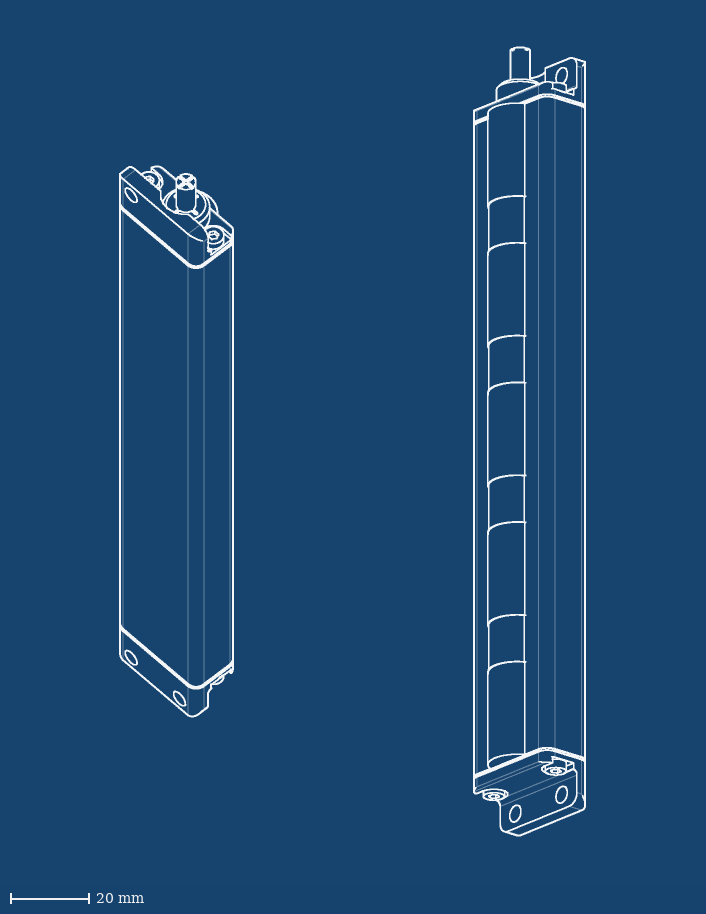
import cadquery as cq
import math

WIDTH = 30.0
DEPTH = 14.9
TOTAL_DEPTH = 19.0
TOTAL_HEIGHT = 209.5
EDGE_RADIUS = 3.0

FLANGE_TOP = 204.3
PROFILE_BOTTOM = 13.0
PROFILE_TOP = 191.0
SEAM_HEIGHT = 0.6
SEAM_DEPTH = 0.2
CAP_BLOCK_HEIGHT = 3.4
BLOCK_BOTTOM = PROFILE_BOTTOM - SEAM_HEIGHT - CAP_BLOCK_HEIGHT
BLOCK_TOP = PROFILE_TOP + SEAM_HEIGHT + CAP_BLOCK_HEIGHT

FLANGE_THICKNESS = 4.5
FLANGE_ROOT_RADIUS = 1.3
BLOCK_EDGE_RADIUS = 0.6
MOUNT_HOLE_X = 9.0
MOUNT_HOLE_INSET = 4.0
MOUNT_HOLE_DIAMETER = 4.5

SCREW_X = WIDTH / 2 - 3.0
SCREW_Y = 9.0
POCKET_WIDTH = 7.1
POCKET_DEPTH = 1.7
HEAD_DIAMETER = 5.5
HEAD_HEIGHT = 2.3
HEX_SIZE = 2.7
HEX_DEPTH = 1.3

GLAND_X = 2.5
GLAND_Y = 8.4
GLAND_DIAMETER = 12.2
GLAND_TOP = 200.0
GLAND_CLEARANCE = 0.5
GLAND_CHAMFER = 1.0
CABLE_DIAMETER = 5.0
CROSS_LENGTH = 8.2
CROSS_WIDTH = 0.6
CROSS_DEPTH = 0.5

LENS_RADIUS = 7.5
LENS_Y = TOTAL_DEPTH - LENS_RADIUS
NECK_RADIUS = 7.3
NECK_LENGTH = 12.8
NECK_COUNT = 4
LENS_LENGTH = PROFILE_TOP - PROFILE_BOTTOM
BAND_LENGTH = (LENS_LENGTH - NECK_COUNT * NECK_LENGTH) / (NECK_COUNT + 1)


def cylinder(x, y, bottom, top, radius):
    """Upright cylinder between two heights."""
    return cq.Workplane("XY", origin=(x, y, bottom)).circle(radius).extrude(top - bottom)


def rounded_bar(bottom, top, inset=0.0):
    """Bar with the housing's rounded rectangular section."""
    return (
        cq.Workplane("XY", origin=(0, DEPTH / 2, bottom))
        .rect(WIDTH - 2 * inset, DEPTH - 2 * inset)
        .extrude(top - bottom)
        .edges("|Z")
        .fillet(EDGE_RADIUS - inset)
    )


def end_cap(seam_z, block_z, flange_z):
    """End cap: a full-depth block that narrows to a flange along the front face."""
    out = math.copysign(1, flange_z - seam_z)
    side_profile = (
        cq.Workplane("YZ")
        .moveTo(0, seam_z)
        .lineTo(0, flange_z)
        .lineTo(FLANGE_THICKNESS, flange_z)
        .lineTo(FLANGE_THICKNESS, block_z + out * FLANGE_ROOT_RADIUS)
        .radiusArc((FLANGE_THICKNESS + FLANGE_ROOT_RADIUS, block_z), -out * FLANGE_ROOT_RADIUS)
        .lineTo(DEPTH - BLOCK_EDGE_RADIUS, block_z)
        .radiusArc((DEPTH, block_z - out * BLOCK_EDGE_RADIUS), out * BLOCK_EDGE_RADIUS)
        .lineTo(DEPTH, seam_z)
        .close()
        .extrude(WIDTH / 2, both=True)
    )
    low = min(seam_z, flange_z)
    high = max(seam_z, flange_z)
    outline = (
        cq.Workplane("XZ", origin=(0, 0, (low + high) / 2))
        .rect(WIDTH, high - low)
        .extrude(-DEPTH)
        .edges("|Y")
        .edges(">Z" if out > 0 else "<Z")
        .fillet(EDGE_RADIUS)
    )
    return side_profile.intersect(outline).intersect(rounded_bar(low, high))


def screw_pocket(side, block_z, out):
    """Round-ended pocket in the end of a cap, open to the side wall."""
    pocket = cq.Workplane("XY", origin=(side * SCREW_X, SCREW_Y, block_z))
    round_end = pocket.circle(POCKET_WIDTH / 2).extrude(-out * POCKET_DEPTH)
    opening = pocket.center(side * POCKET_WIDTH / 2, 0).rect(POCKET_WIDTH, POCKET_WIDTH)
    return round_end.union(opening.extrude(-out * POCKET_DEPTH))


def screw_head(side, block_z, out):
    """Socket screw head standing on the floor of its pocket."""
    floor = block_z - out * POCKET_DEPTH
    head_end = floor + out * HEAD_HEIGHT
    place = (side * SCREW_X, SCREW_Y)
    head = cq.Workplane("XY", origin=(*place, floor)).circle(HEAD_DIAMETER / 2).extrude(out * HEAD_HEIGHT)
    socket = cq.Workplane("XY", origin=(*place, head_end)).polygon(6, HEX_SIZE).extrude(-out * HEX_DEPTH)
    return head.cut(socket)


def mount_hole(x, z):
    """Through hole along Y in a flange."""
    return cq.Workplane("XZ", origin=(x, 0, z)).circle(MOUNT_HOLE_DIAMETER / 2).extrude(-FLANGE_THICKNESS)


def cross_slot(top):
    """Narrow cross-shaped slot centred on the gland axis."""
    start = cq.Workplane("XY", origin=(GLAND_X, GLAND_Y, top))
    along_x = start.rect(CROSS_LENGTH, CROSS_WIDTH).extrude(-CROSS_DEPTH)
    along_y = start.rect(CROSS_WIDTH, CROSS_LENGTH).extrude(-CROSS_DEPTH)
    return along_x.union(along_y)


def cable_gland():
    """Chamfered gland with the cable leaving it."""
    gland = cylinder(GLAND_X, GLAND_Y, PROFILE_TOP, GLAND_TOP, GLAND_DIAMETER / 2)
    gland = gland.faces(">Z").chamfer(GLAND_CHAMFER)
    cable = cylinder(GLAND_X, GLAND_Y, BLOCK_TOP, TOTAL_HEIGHT, CABLE_DIAMETER / 2)
    return gland.cut(cross_slot(GLAND_TOP)).union(cable).cut(cross_slot(TOTAL_HEIGHT))


def make_lens():
    """Round lens with wide bands separated by slightly thinner necks."""
    lens = cylinder(0, LENS_Y, PROFILE_BOTTOM, PROFILE_TOP, NECK_RADIUS)
    for index in range(NECK_COUNT + 1):
        bottom = PROFILE_BOTTOM + index * (BAND_LENGTH + NECK_LENGTH)
        lens = lens.union(cylinder(0, LENS_Y, bottom, bottom + BAND_LENGTH, LENS_RADIUS))
    return lens


def make_housing(lens):
    """Profile with both end caps, screws and cable gland, recessed for the lens."""
    lower_seam = PROFILE_BOTTOM - SEAM_HEIGHT
    upper_seam = PROFILE_TOP + SEAM_HEIGHT
    housing = rounded_bar(PROFILE_BOTTOM, PROFILE_TOP)
    housing = housing.union(rounded_bar(lower_seam, PROFILE_BOTTOM, SEAM_DEPTH))
    housing = housing.union(rounded_bar(PROFILE_TOP, upper_seam, SEAM_DEPTH))
    housing = housing.union(end_cap(lower_seam, BLOCK_BOTTOM, 0.0))
    housing = housing.union(end_cap(upper_seam, BLOCK_TOP, FLANGE_TOP))

    clearance_radius = GLAND_DIAMETER / 2 + GLAND_CLEARANCE
    housing = housing.cut(cylinder(GLAND_X, GLAND_Y, BLOCK_TOP, FLANGE_TOP, clearance_radius))
    for side in (-1, 1):
        for block_z, out in ((BLOCK_BOTTOM, -1), (BLOCK_TOP, 1)):
            housing = housing.cut(screw_pocket(side, block_z, out))
            housing = housing.union(screw_head(side, block_z, out))
        housing = housing.cut(mount_hole(side * MOUNT_HOLE_X, MOUNT_HOLE_INSET))
    housing = housing.cut(mount_hole(-MOUNT_HOLE_X, FLANGE_TOP - MOUNT_HOLE_INSET))
    housing = housing.union(cable_gland())
    return housing.cut(lens)


lens = make_lens()
housing = make_housing(lens)
result = cq.Compound.makeCompound([housing.val(), lens.val()])